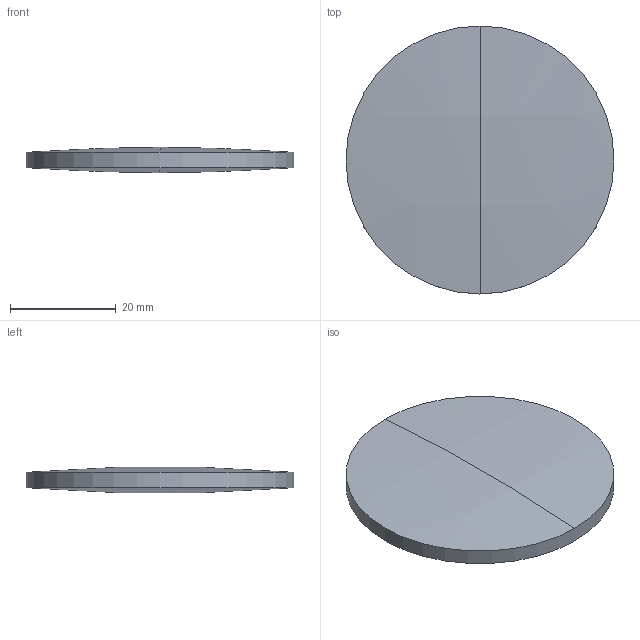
import cadquery as cq

diameter = 50.8
edge_thickness = 2.92
centre_thickness = 5.0

blank_thickness = 2 * centre_thickness

rim_radius = diameter / 2
sag = (centre_thickness - edge_thickness) / 2
surface_radius = (rim_radius**2 + sag**2) / (2 * sag)


def lens_blank():
    """Plain cylinder of the lens diameter, with its seam on the -X side."""
    blank = cq.Workplane("XY").workplane(offset=-blank_thickness / 2)
    blank = blank.circle(rim_radius).extrude(blank_thickness)
    return blank.rotate((0, 0, 0), (0, 0, 1), 180)


def surface_ball(side):
    """Ball for the convex face on one side (+1 top, -1 bottom).

    Its poles lie along Y, clear of the lens, and its seam crosses the middle of the face.
    """
    ball = cq.Workplane("XY").sphere(surface_radius)
    ball = ball.rotate((0, 0, 0), (1, 0, 0), 90)
    ball = ball.rotate((0, 0, 0), (0, 1, 0), -side * 90)
    return ball.translate((0, 0, side * (centre_thickness / 2 - surface_radius)))


lens = lens_blank()
for face_side in (1, -1):
    lens = lens.intersect(surface_ball(face_side), clean=False)

result = lens